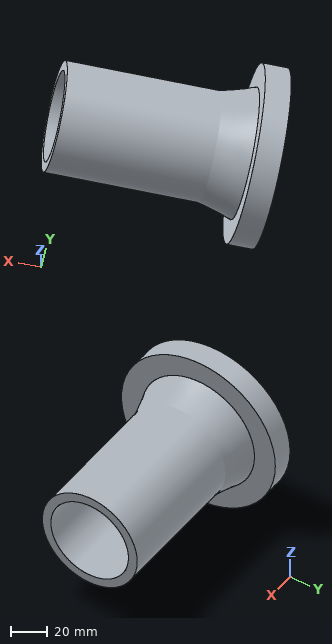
import cadquery as cq

total_length = 122.0
flange_thickness = 14.8
neck_length = 19.9
flange_radius = 102.0 / 2
neck_root_radius = 74.4 / 2
neck_bow = 0.3
tube_radius = 63.0 / 2
bore_radius = 51.4 / 2

neck_end = flange_thickness + neck_length

neck_middle_x = flange_thickness + neck_length / 2
neck_middle_radius = (neck_root_radius + tube_radius) / 2 - neck_bow

result = (
    cq.Workplane("XY")
    .moveTo(0, bore_radius)
    .lineTo(0, flange_radius)
    .lineTo(flange_thickness, flange_radius)
    .lineTo(flange_thickness, neck_root_radius)
    .threePointArc((neck_middle_x, neck_middle_radius), (neck_end, tube_radius))
    .lineTo(total_length, tube_radius)
    .lineTo(total_length, bore_radius)
    .close()
    .revolve(360, (0, 0, 0), (1, 0, 0))
    .translate((-total_length / 2, 0, 0))
)